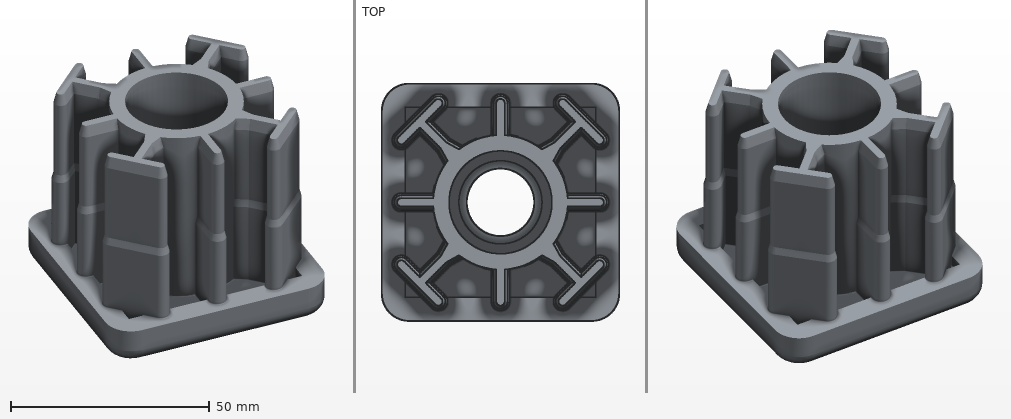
import cadquery as cq
import math

plate_side = 60.0
plate_thickness = 10.0
plate_corner_radius = 7.0
plate_bottom_fillet = 4.0
recess_side = 48.0
recess_depth = 3.0

total_height = 55.0
tube_radius = 17.0
bore_radius = 13.0
step_radius = 10.5
through_radius = 8.5

recess_floor_z = plate_thickness - recess_depth
bore_floor_z = plate_thickness
step_floor_z = recess_floor_z

lower_top_z = 29.0
upper_start_z = 31.0
tip_start_z = 52.0

lower_half = 2.3
upper_half = 1.8
tip_half = 1.05

rib_end_centre = 25.05
bar_distance = 28.8
bar_half_span = 6.6
flare_start = 20.3
flare_end = 15.0
flare_angle = 16.0
foot_fillet = 0.25
tolerance = 0.001

flare_growth = (flare_start - flare_end) * math.tan(math.radians(flare_angle))


def straight_rib_plan(wp, half):
    """Straight wall along +X with a rounded outer end."""
    return (
        wp.moveTo(flare_end, -half)
        .lineTo(rib_end_centre, -half)
        .threePointArc((rib_end_centre + half, 0), (rib_end_centre, half))
        .lineTo(flare_end, half)
        .close()
    )


def diagonal_rib_plan(wp, half):
    """T outline along +X: web flared towards the tube and a round-ended cross bar."""
    root_half = half + flare_growth
    bar_inner = bar_distance - half
    bar_outer = bar_distance + half
    bar_tip = bar_half_span + half
    return (
        wp.moveTo(flare_end, -root_half)
        .lineTo(flare_start, -half)
        .lineTo(bar_inner, -half)
        .lineTo(bar_inner, -bar_half_span)
        .threePointArc((bar_distance, -bar_tip), (bar_outer, -bar_half_span))
        .lineTo(bar_outer, bar_half_span)
        .threePointArc((bar_distance, bar_tip), (bar_inner, bar_half_span))
        .lineTo(bar_inner, half)
        .lineTo(flare_start, half)
        .lineTo(flare_end, root_half)
        .close()
    )


def rib_section(plan, bottom_z, bottom_half, top_z, top_half):
    """Rib slice whose half thickness changes evenly between two heights."""
    wp = plan(cq.Workplane("XY").workplane(offset=bottom_z), bottom_half)
    if bottom_half == top_half:
        return wp.extrude(top_z - bottom_z)
    return plan(wp.workplane(offset=top_z - bottom_z), top_half).loft(ruled=True)


def make_rib(plan):
    """Full-height rib along +X."""
    rib = rib_section(plan, recess_floor_z, lower_half, lower_top_z, lower_half)
    rib = rib.union(rib_section(plan, lower_top_z, lower_half, upper_start_z, upper_half))
    rib = rib.union(rib_section(plan, upper_start_z, upper_half, tip_start_z, upper_half))
    return rib.union(rib_section(plan, tip_start_z, upper_half, total_height, tip_half))


def make_plate():
    plate = (
        cq.Workplane("XY")
        .rect(plate_side, plate_side)
        .extrude(plate_thickness)
        .edges("|Z")
        .fillet(plate_corner_radius)
        .faces("<Z")
        .edges()
        .fillet(plate_bottom_fillet)
    )
    recess = (
        cq.Workplane("XY")
        .workplane(offset=recess_floor_z)
        .rect(recess_side, recess_side)
        .extrude(recess_depth)
    )
    return plate.cut(recess)


def cylinder(radius, bottom_z):
    """Upright cylinder on the tube axis, from the given height to the top of the part."""
    return cq.Workplane("XY").workplane(offset=bottom_z).circle(radius).extrude(total_height - bottom_z)


def cut_bore(body):
    """Stepped bore, narrowing towards the bottom of the plate."""
    body = body.cut(cylinder(bore_radius, bore_floor_z))
    body = body.cut(cylinder(step_radius, step_floor_z))
    return body.cut(cylinder(through_radius, 0))


def is_foot_edge(edge):
    """True for edges where the tube or a rib stands on the plate rim or the recess floor."""
    box = edge.BoundingBox()
    is_level = box.zmax - box.zmin < tolerance
    on_rim = abs(box.zmin - plate_thickness) < tolerance
    on_floor = abs(box.zmin - recess_floor_z) < tolerance
    centre = edge.Center()
    reach = max(abs(centre.x), abs(centre.y))
    on_recess_wall = abs(reach - recess_side / 2) < tolerance
    on_plate_outline = reach > rib_end_centre + lower_half
    return is_level and (on_rim or on_floor) and not on_recess_wall and not on_plate_outline


def fillet_feet(body):
    foot_edges = [edge for edge in body.edges().vals() if is_foot_edge(edge)]
    return body.newObject(foot_edges).fillet(foot_fillet)


straight_rib = make_rib(straight_rib_plan)
diagonal_rib = make_rib(diagonal_rib_plan)

part = make_plate().union(cylinder(tube_radius, recess_floor_z))
for angle in range(0, 360, 90):
    part = part.union(straight_rib.rotate((0, 0, 0), (0, 0, 1), angle))
    part = part.union(diagonal_rib.rotate((0, 0, 0), (0, 0, 1), angle + 45))

result = cut_bore(fillet_feet(part))